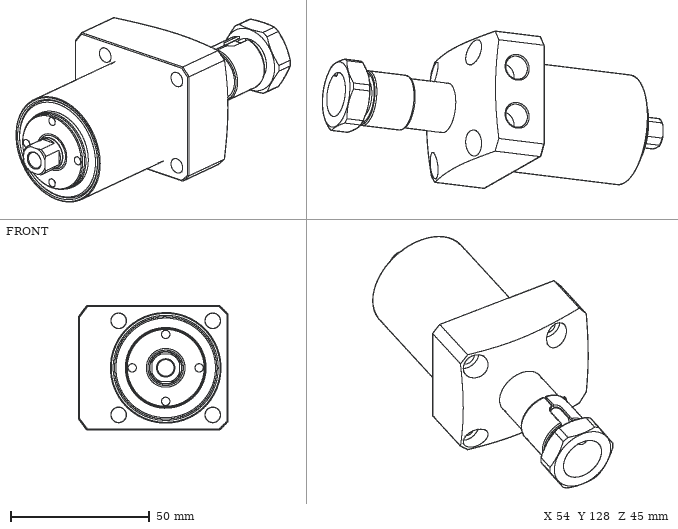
import cadquery as cq
import math


flange_right = 22.5
flange_left = -31.5
flange_half_height = 22.5
flange_thickness = 25.0
corner_width = 3.0
right_corner_height = 3.0
left_corner_height = 4.0
flange_edge_chamfer = 0.4
crown_flat_radius = 11.5
crown_angle = 15.0

bolt_offset = 17.0
bolt_hole_diameter = 5.5
counterbore_diameter = 9.3
counterbore_floor = 16.0

port_y = 11.0
port_z = 9.0
port_diameter = 8.6
port_depth = 12.0
port_chamfer = 0.5

barrel_radius = 20.0
barrel_length = 46.5
barrel_fillet = 0.4
barrel_overlap = 1.0
barrel_end_chamfer = 0.3
mouth_bevel = 0.5

cap_radius = 18.5
cap_depth = 10.0
cap_boss_radius = 14.6
cap_boss_step_radius = 14.25
cap_boss_length = 3.1
cap_end_chamfer = 0.35
cap_step_height = 1.4
cap_step_chamfer = 0.35
pin_hole_diameter = 3.0
pin_hole_radius = 12.1
pin_hole_depth = 3.0

wiper_radius = 7.0
wiper_lip_base_radius = 6.4
wiper_lip_tip_radius = 5.9
wiper_lip_height = 0.9
wiper_depth = 3.0

rod_radius = 9.0
neck_radius = 7.0
rod_shoulder_length = 2.6
stud_radius = 8.0
undercut_angle = 30.0
shaft_radius = 5.75
shaft_end = -59.5
shaft_across_flats = 10.0
shaft_flat_length = 7.8
shaft_end_chamfer = 0.5
shaft_bore_diameter = 6.0
shaft_bore_depth = 10.0
shaft_bore_chamfer = 0.3
groove_radius = 2.0
groove_centre_z = 8.9
groove_end_y = 50.0

sleeve_radius = 10.0
sleeve_start = 41.5
sleeve_length = 16.0
sleeve_chamfer_width = 0.3
sleeve_chamfer_length = 0.6
slot_width = 4.6
slot_end_y = 49.7
slit_width = 0.8

nut_start = 60.5
nut_height = 8.0
nut_across_flats = 24.0
nut_corner_radius = 13.25
nut_chamfer_width = 1.4
nut_chamfer_angle = 30.0

barrel_end = -barrel_length
cap_inner_end = barrel_end + cap_depth
cap_outer_end = barrel_end - cap_boss_length
sleeve_end = sleeve_start + sleeve_length
nut_end = nut_start + nut_height


def turned(profile):
    """Revolve a closed (radius, y) outline about the Y axis."""
    return cq.Workplane("XY").polyline(profile).close().revolve(360, (0, 0, 0), (0, 1, 0))


def rod_along_y(radius, y_start, y_end, x=0.0, z=0.0):
    """Round bar parallel to Y, used as a body or a cutter."""
    return cq.Workplane(cq.Solid.makeCylinder(radius, y_end - y_start, cq.Vector(x, y_start, z), cq.Vector(0, 1, 0)))


def box_between(x_range, y_range, z_range):
    """Box given by its limits along each axis."""
    lows, highs = zip(x_range, y_range, z_range)
    sizes = [high - low for low, high in zip(lows, highs)]
    return cq.Workplane("XY").box(*sizes, centered=False).translate(lows)


def make_flange():
    """Block with cut corners and a conical crown on its front."""
    top_half = [
        (flange_right, flange_half_height - right_corner_height),
        (flange_right - corner_width, flange_half_height),
        (flange_left + corner_width, flange_half_height),
        (flange_left, flange_half_height - left_corner_height),
    ]
    bottom_half = [(x, -z) for x, z in reversed(top_half)]
    block = cq.Workplane("XZ").polyline(top_half + bottom_half).close().extrude(-flange_thickness)
    block = block.faces("<Y").edges().chamfer(flange_edge_chamfer)

    crown_outer_radius = math.hypot(flange_left, flange_half_height)
    crown_drop = (crown_outer_radius - crown_flat_radius) * math.tan(math.radians(crown_angle))
    crown = turned([
        (0, 0),
        (crown_outer_radius, 0),
        (crown_outer_radius, flange_thickness - crown_drop),
        (crown_flat_radius, flange_thickness),
        (0, flange_thickness),
    ])
    return block.intersect(crown)


def make_barrel():
    """Tube body with a small fillet where it meets the flange."""
    fillet_start = -barrel_fillet
    outline = cq.Workplane("XY").moveTo(0, barrel_end).lineTo(barrel_radius - barrel_end_chamfer, barrel_end)
    outline = outline.lineTo(barrel_radius, barrel_end + barrel_end_chamfer).lineTo(barrel_radius, fillet_start)
    outline = outline.radiusArc((barrel_radius + barrel_fillet, 0), barrel_fillet)
    outline = outline.lineTo(barrel_radius + barrel_fillet, barrel_overlap).lineTo(0, barrel_overlap).close()
    return outline.revolve(360, (0, 0, 0), (0, 1, 0))


def make_housing():
    housing = make_flange().union(make_barrel())

    housing = housing.cut(rod_along_y(rod_radius, barrel_end, flange_thickness))
    housing = housing.cut(turned([
        (0, barrel_end),
        (cap_radius + mouth_bevel, barrel_end),
        (cap_radius, barrel_end + mouth_bevel),
        (cap_radius, cap_inner_end),
        (0, cap_inner_end),
    ]))

    for x in (-bolt_offset, bolt_offset):
        for z in (-bolt_offset, bolt_offset):
            housing = housing.cut(rod_along_y(bolt_hole_diameter / 2, 0, flange_thickness, x, z))
            housing = housing.cut(rod_along_y(counterbore_diameter / 2, counterbore_floor, flange_thickness, x, z))

    for z in (-port_z, port_z):
        mouth = cq.Vector(flange_left, port_y, z)
        inward = cq.Vector(1, 0, 0)
        radius = port_diameter / 2
        housing = housing.cut(cq.Workplane(cq.Solid.makeCylinder(radius, port_depth, mouth, inward)))
        countersink = cq.Solid.makeCone(radius + port_chamfer, radius, port_chamfer, mouth, inward)
        housing = housing.cut(cq.Workplane(countersink))
    return housing


def make_end_cap():
    step_y = cap_outer_end + cap_step_height
    cap = turned([
        (shaft_radius, cap_inner_end),
        (cap_radius, cap_inner_end),
        (cap_radius, barrel_end + mouth_bevel),
        (cap_radius - mouth_bevel, barrel_end),
        (cap_boss_radius, barrel_end),
        (cap_boss_radius, step_y + cap_step_chamfer),
        (cap_boss_step_radius, step_y),
        (cap_boss_step_radius, cap_outer_end + cap_end_chamfer),
        (cap_boss_step_radius - cap_end_chamfer, cap_outer_end),
        (wiper_radius, cap_outer_end),
        (wiper_radius, cap_outer_end + wiper_depth),
        (shaft_radius, cap_outer_end + wiper_depth),
    ])

    for quarter in range(4):
        angle = quarter * math.pi / 2
        x = pin_hole_radius * math.cos(angle)
        z = pin_hole_radius * math.sin(angle)
        cap = cap.cut(rod_along_y(pin_hole_diameter / 2, cap_outer_end, cap_outer_end + pin_hole_depth, x, z))
    return cap


def make_wiper_ring():
    return turned([
        (shaft_radius, cap_outer_end + wiper_depth),
        (wiper_radius, cap_outer_end + wiper_depth),
        (wiper_radius, cap_outer_end),
        (wiper_lip_base_radius, cap_outer_end),
        (wiper_lip_tip_radius, cap_outer_end - wiper_lip_height),
        (shaft_radius, cap_outer_end - wiper_lip_height),
    ])


def make_piston_rod():
    undercut_rise = stud_radius - neck_radius
    undercut_length = undercut_rise / math.tan(math.radians(undercut_angle))
    rod = turned([
        (0, shaft_end),
        (shaft_radius - shaft_end_chamfer, shaft_end),
        (shaft_radius, shaft_end + shaft_end_chamfer),
        (shaft_radius, cap_inner_end),
        (rod_radius, cap_inner_end),
        (rod_radius, sleeve_end - rod_shoulder_length),
        (neck_radius, sleeve_end),
        (neck_radius, nut_start - undercut_length),
        (stud_radius, nut_start),
        (stud_radius, nut_end),
        (0, nut_end),
    ])

    half_flats = shaft_across_flats / 2
    flats_range = (-half_flats, half_flats)
    drive_y = (shaft_end, shaft_end + shaft_flat_length)
    around = (-shaft_radius, shaft_radius)
    drive_stock = box_between(around, drive_y, around)
    rod = rod.cut(drive_stock.cut(box_between(flats_range, drive_y, flats_range)))

    bore_radius = shaft_bore_diameter / 2
    rod = rod.cut(turned([
        (0, shaft_end),
        (bore_radius + shaft_bore_chamfer, shaft_end),
        (bore_radius, shaft_end + shaft_bore_chamfer),
        (bore_radius, shaft_end + shaft_bore_depth),
        (0, shaft_end + shaft_bore_depth),
    ]))

    groove = rod_along_y(groove_radius, groove_end_y, nut_end, 0, groove_centre_z)
    ball = cq.Workplane("XY").sphere(groove_radius).translate((0, groove_end_y, groove_centre_z))
    return rod.cut(groove).cut(ball)


def make_sleeve():
    """Split sleeve with a round-ended slot above the rod's groove and a slit through its wall."""
    end_radius = sleeve_radius - sleeve_chamfer_width
    sleeve = turned([
        (rod_radius, sleeve_start),
        (end_radius, sleeve_start),
        (sleeve_radius, sleeve_start + sleeve_chamfer_length),
        (sleeve_radius, sleeve_end - sleeve_chamfer_length),
        (end_radius, sleeve_end),
        (rod_radius, sleeve_end),
    ])

    wall_z = (0, sleeve_radius)
    slot_x = (-slot_width / 2, slot_width / 2)
    slot = box_between(slot_x, (slot_end_y, sleeve_end), wall_z)
    slot_end = cq.Workplane("XY").center(0, slot_end_y).circle(slot_width / 2).extrude(sleeve_radius)
    slit = box_between((-slit_width / 2, slit_width / 2), (sleeve_start, slot_end_y), wall_z)
    return sleeve.cut(slot).cut(slot_end).cut(slit)


def make_nut():
    """Hexagon nut with turned corners and both ends chamfered."""
    hexagon_diameter = nut_across_flats / math.cos(math.radians(30))
    hexagon = cq.Workplane("XZ", origin=(0, nut_start, 0)).polygon(6, hexagon_diameter).extrude(-nut_height)
    chamfer_height = nut_chamfer_width * math.tan(math.radians(nut_chamfer_angle))
    end_radius = nut_corner_radius - nut_chamfer_width
    turned_blank = turned([
        (stud_radius, nut_start),
        (end_radius, nut_start),
        (nut_corner_radius, nut_start + chamfer_height),
        (nut_corner_radius, nut_end - chamfer_height),
        (end_radius, nut_end),
        (stud_radius, nut_end),
    ])
    return hexagon.intersect(turned_blank)


housing = make_housing()
end_cap = make_end_cap()
wiper_ring = make_wiper_ring()
piston_rod = make_piston_rod()
sleeve = make_sleeve()
nut = make_nut()

result = cq.Compound.makeCompound([
    housing.val(),
    end_cap.val(),
    wiper_ring.val(),
    piston_rod.val(),
    sleeve.val(),
    nut.val(),
])